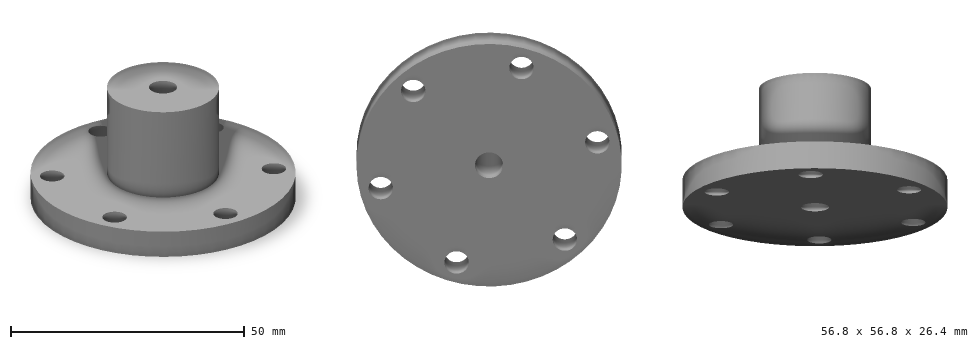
import cadquery as cq

flange_diameter = 56.8
flange_thickness = 6.0

total_height = 26.4
boss_diameter = 24.0
bore_diameter = 6.0

bolt_count = 6
bolt_hole_diameter = 5.2
bolt_circle_radius = 23.8
first_bolt_angle = 90

flange = cq.Workplane("XY").circle(flange_diameter / 2).extrude(flange_thickness)
boss = cq.Workplane("XY").circle(boss_diameter / 2).extrude(total_height)
bore = cq.Workplane("XY").circle(bore_diameter / 2).extrude(total_height)
bolt_holes = (
    cq.Workplane("XY")
    .polarArray(bolt_circle_radius, first_bolt_angle, 360, bolt_count)
    .circle(bolt_hole_diameter / 2)
    .extrude(flange_thickness)
)

result = flange.union(boss).cut(bore).cut(bolt_holes)